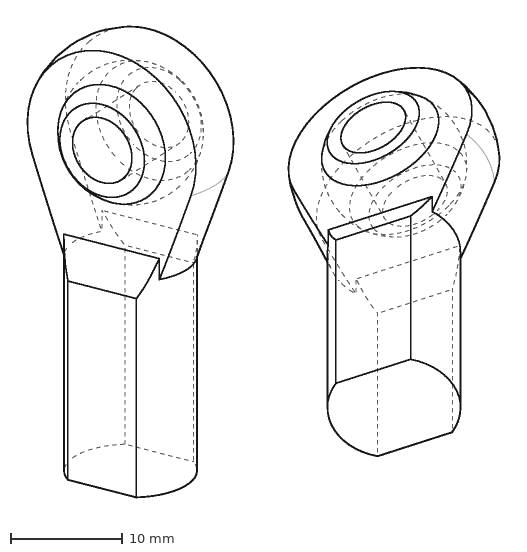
import cadquery as cq
import math

total_height = 42.85
head_diameter = 19.05
head_thickness = 6.35

shank_radius = 6.0
shank_thickness = 9.5
slope_bottom_z = 19.6
slope_top_z = 23.25
cone_bottom_z = 21.2

ball_radius = 6.55
ball_width = shank_thickness
bore_diameter = 6.35

head_radius = head_diameter / 2
head_z = total_height - head_radius


def make_head():
    """Sphere with a tangent cone down to the shank, sliced to the head thickness."""
    drop = head_z - cone_bottom_z
    rim_distance = math.hypot(shank_radius, drop)
    rim_angle = math.atan2(-drop, shank_radius)
    tangent_angle = rim_angle + math.acos(head_radius / rim_distance)
    tangent_x = head_radius * math.cos(tangent_angle)
    tangent_z = head_z + head_radius * math.sin(tangent_angle)

    middle_angle = (tangent_angle + math.pi / 2) / 2
    middle_x = head_radius * math.cos(middle_angle)
    middle_z = head_z + head_radius * math.sin(middle_angle)

    turned = (
        cq.Workplane("XZ")
        .moveTo(0, cone_bottom_z)
        .lineTo(shank_radius, cone_bottom_z)
        .lineTo(tangent_x, tangent_z)
        .threePointArc((middle_x, middle_z), (0, total_height))
        .close()
        .revolve(360, (0, 0, 0), (0, 1, 0))
    )
    slab = cq.Workplane("XY").box(
        head_diameter, head_thickness, total_height, centered=(True, True, False)
    )
    return turned.intersect(slab)


def make_shank():
    """Round bar trimmed to the flats and the slopes above them."""
    bar = cq.Workplane("XY").circle(shank_radius).extrude(slope_top_z)
    side_profile = (
        cq.Workplane("YZ")
        .moveTo(-shank_thickness / 2, 0)
        .lineTo(shank_thickness / 2, 0)
        .lineTo(shank_thickness / 2, slope_bottom_z)
        .lineTo(head_thickness / 2, slope_top_z)
        .lineTo(-head_thickness / 2, slope_top_z)
        .lineTo(-shank_thickness / 2, slope_bottom_z)
        .close()
        .extrude(shank_radius, both=True)
    )
    return bar.intersect(side_profile)


def turn_ball_shape(inner_radius, width):
    """Flat-ended ball turned about the Y axis through the head centre, down to an inner radius."""
    half_width = width / 2
    end_radius = math.sqrt(ball_radius**2 - half_width**2)
    return (
        cq.Workplane("XY")
        .moveTo(inner_radius, -half_width)
        .lineTo(end_radius, -half_width)
        .threePointArc((ball_radius, 0), (end_radius, half_width))
        .lineTo(inner_radius, half_width)
        .close()
        .revolve(360, (0, 0, 0), (0, 1, 0))
        .translate((0, 0, head_z))
    )


def make_housing():
    """Rod end with a spherical socket open on both faces."""
    socket = turn_ball_shape(0, head_thickness)
    return make_shank().union(make_head()).cut(socket)


def make_ball():
    """Ball with two flat ends and a through bore."""
    return turn_ball_shape(bore_diameter / 2, ball_width)


housing = make_housing()
ball = make_ball()

result = cq.Compound.makeCompound([housing.val(), ball.val()])